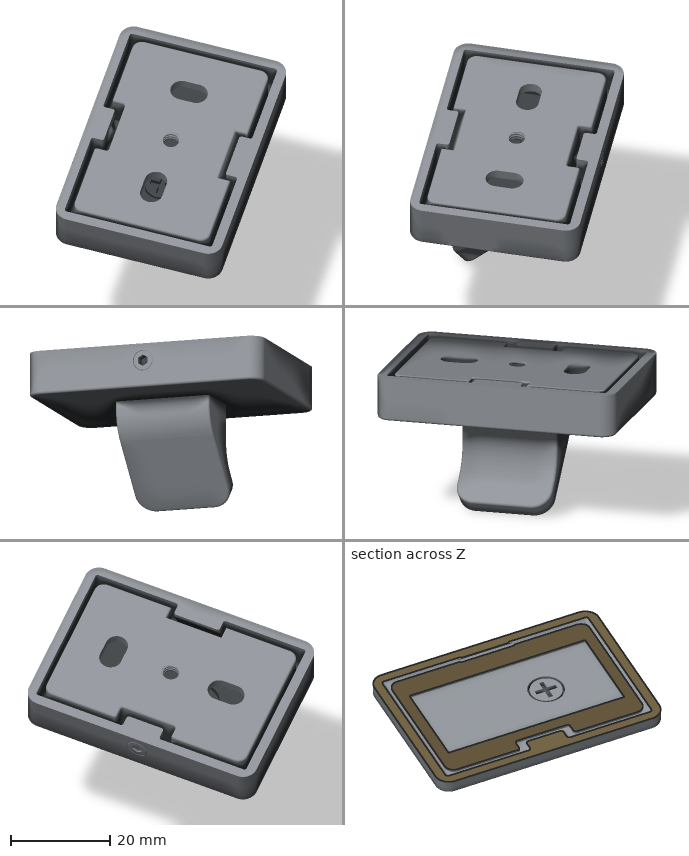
import cadquery as cq
import math

HOUSING_X = 35.0
HOUSING_Y = 50.0
HOUSING_Z = 8.9
HOUSING_CORNER_R = 3.0
HOUSING_BOTTOM_R = 0.5
WALL = 1.95
CAVITY_X = HOUSING_X - 2 * WALL
CAVITY_Y = HOUSING_Y - 2 * WALL
CAVITY_DEPTH = 6.5
CAVITY_CORNER_R = 0.5
FLOOR_R = 1.0

TAB_FACE_X = 13.0
CLAMP_TAB_WIDTH = 8.0
STOP_TAB_WIDTH = 10.0
UNDERCUT_TOP_Z = -0.7
UNDERCUT_ANGLE = 22.0

PLATE_CLAMP_SIDE_X = -14.2
PLATE_STOP_SIDE_X = 14.35
PLATE_Y = 44.1
PLATE_TOP_Z = -0.1
PLATE_EDGE_R = 0.4
PLATE_CORNER_R = 2.0
PLATE_WEB = 2.05
PLATE_RIM_X = 5.0
PLATE_RIM_Y = 2.5
NOTCH_WIDTH = 12.0
STOP_NOTCH_X = 11.7
CLAMP_NOTCH_X = 11.4
NOTCH_CORNER_R = 0.5
SLOT_LENGTH = 7.7
SLOT_WIDTH = 4.6
CROSS_SLOT_Y = 12.6
LONG_SLOT_Y = -12.1
THREAD_MINOR_R = 1.65
THREAD_MAJOR_R = 2.0
THREAD_PITCH = 0.7
THREAD_TURNS = 6
THREAD_TURNS_BELOW_TOP = 4.25
THREAD_MOUTH = 0.45
THREAD_ROOT = 0.1
THREAD_OVERCUT = 0.1

SET_SCREW_R = 2.1
SET_SCREW_Z = -3.5
SET_SCREW_CHAMFER = 0.15
SET_SCREW_POINT = 0.85
SET_SCREW_POINT_R = 1.5
SET_SCREW_HEX = 2.0
SET_SCREW_HEX_DEPTH = 2.0

SCREW_Y = -6.5
SCREW_HEAD_R = 3.35
SCREW_HEAD_HEIGHT = 1.4
SCREW_SHANK_R = 2.0
SCREW_SHANK_END_Z = -15.0
COUNTERBORE_R = 3.8
COUNTERBORE_DEPTH = 1.5
RECESS_ARM_WIDTH = 1.0
RECESS_SPAN = 4.7
RECESS_DEPTH = 1.0

HOOK_X = 11.0
HOOK_Y = 20.0
HOOK_LOWEST_Z = -28.8
HOOK_BEND_R = 8.75
HOOK_OUTER_BEND_Z = -10.45
HOOK_INNER_BEND_Z = -16.0
HOOK_TIP_CORNER_R = 4.0
HOOK_EDGE_R = 0.5

FLOOR_Z = -CAVITY_DEPTH
BOTTOM_Z = -HOUSING_Z
COUNTERBORE_Z = FLOOR_Z - COUNTERBORE_DEPTH
HOOK_TIP_Z = HOOK_LOWEST_Z - HOOK_EDGE_R * (math.sqrt(2) - 1)
SIN45 = math.sqrt(0.5)


def box(x0, x1, y0, y1, z0, z1):
    return cq.Workplane("XY").box(x1 - x0, y1 - y0, z1 - z0, centered=False).translate((x0, y0, z0))


def slope_run(drop):
    """Sideways run of the undercut slope over a given drop."""
    return drop * math.tan(math.radians(UNDERCUT_ANGLE))


def stop_undercut():
    """Space under the stop tab, clearing the floor fillets beside it."""
    root_x = TAB_FACE_X + slope_run(UNDERCUT_TOP_Z - FLOOR_Z)
    return (
        cq.Workplane("XZ")
        .moveTo(TAB_FACE_X - FLOOR_R, UNDERCUT_TOP_Z)
        .lineTo(TAB_FACE_X, UNDERCUT_TOP_Z)
        .lineTo(root_x, FLOOR_Z)
        .lineTo(TAB_FACE_X - FLOOR_R, FLOOR_Z)
        .close()
        .extrude(STOP_TAB_WIDTH / 2 + FLOOR_R, both=True)
    )


def make_cavity():
    """Space inside the tray, reduced by the two tabs, with rounded floor edges."""
    cavity = box(-CAVITY_X / 2, CAVITY_X / 2, -CAVITY_Y / 2, CAVITY_Y / 2, FLOOR_Z, 0)
    clamp_half = CLAMP_TAB_WIDTH / 2
    stop_half = STOP_TAB_WIDTH / 2
    cavity = cavity.cut(box(-CAVITY_X / 2, -TAB_FACE_X, -clamp_half, clamp_half, FLOOR_Z, 0))
    cavity = cavity.cut(box(TAB_FACE_X, CAVITY_X / 2, -stop_half, stop_half, FLOOR_Z, 0))
    cavity = cavity.edges("|Z").fillet(CAVITY_CORNER_R)
    return cavity.faces("<Z").edges().fillet(FLOOR_R)


def make_housing():
    housing = box(-HOUSING_X / 2, HOUSING_X / 2, -HOUSING_Y / 2, HOUSING_Y / 2, BOTTOM_Z, 0)
    housing = housing.edges("|Z").fillet(HOUSING_CORNER_R)
    housing = housing.faces("<Z").edges().fillet(HOUSING_BOTTOM_R)
    housing = housing.cut(make_cavity()).cut(stop_undercut())
    return housing.cut(set_screw_blank()).cut(screw_pocket())


def make_plate():
    """Clamped plate, hollow underneath, with slots and a threaded centre hole."""
    plate = plate_blank()
    plate = plate.cut(stop_notch()).cut(clamp_notch())
    plate = plate.edges(clamp_notch_mouth()).fillet(NOTCH_CORNER_R)
    plate = plate.faces(">Z").edges().fillet(PLATE_EDGE_R)
    plate = plate.cut(plate_hollow())
    plate = plate.cut(slot(CROSS_SLOT_Y, 0)).cut(slot(LONG_SLOT_Y, 90))
    return cut_thread(plate)


def plate_blank():
    """Rounded block whose clamp side leans out to where the floor fillet ends."""
    blank = (
        cq.Workplane("XZ")
        .moveTo(PLATE_CLAMP_SIDE_X, PLATE_TOP_Z)
        .lineTo(PLATE_STOP_SIDE_X, PLATE_TOP_Z)
        .lineTo(PLATE_STOP_SIDE_X, FLOOR_Z)
        .lineTo(FLOOR_R - CAVITY_X / 2, FLOOR_Z)
        .close()
        .extrude(PLATE_Y / 2, both=True)
    )
    return blank.edges("not (|X or |Y)").fillet(PLATE_CORNER_R)


def stop_notch():
    """Notch around the stop tab; its wall slopes out under the tab."""
    foot_x = STOP_NOTCH_X + slope_run(PLATE_TOP_Z - FLOOR_Z)
    return (
        cq.Workplane("XZ")
        .moveTo(CAVITY_X / 2, PLATE_TOP_Z)
        .lineTo(STOP_NOTCH_X, PLATE_TOP_Z)
        .lineTo(foot_x, FLOOR_Z)
        .lineTo(CAVITY_X / 2, FLOOR_Z)
        .close()
        .extrude(NOTCH_WIDTH / 2, both=True)
    )


def clamp_notch():
    """Notch around the clamp tab; its wall leans out to where the floor fillet ends."""
    foot_x = -(TAB_FACE_X - FLOOR_R)
    notch = (
        cq.Workplane("XZ")
        .moveTo(-CAVITY_X / 2, PLATE_TOP_Z)
        .lineTo(-CLAMP_NOTCH_X, PLATE_TOP_Z)
        .lineTo(foot_x, FLOOR_Z)
        .lineTo(-CAVITY_X / 2, FLOOR_Z)
        .close()
        .extrude(NOTCH_WIDTH / 2, both=True)
    )
    return notch.faces(">X").edges("not |Y").fillet(NOTCH_CORNER_R)


def clamp_notch_mouth():
    """Selects the two upright edges where the clamp notch opens through the plate's side."""
    half = NOTCH_WIDTH / 2 + 0.05
    return cq.selectors.BoxSelector(
        (-CAVITY_X / 2, -half, FLOOR_Z),
        (PLATE_CLAMP_SIDE_X, half, PLATE_TOP_Z),
    )


def plate_hollow():
    """Underside pocket that leaves a web under the top and a rim standing on the floor."""
    return box(
        PLATE_CLAMP_SIDE_X + PLATE_RIM_X,
        PLATE_STOP_SIDE_X - PLATE_RIM_X,
        -PLATE_Y / 2 + PLATE_RIM_Y,
        PLATE_Y / 2 - PLATE_RIM_Y,
        FLOOR_Z,
        PLATE_TOP_Z - PLATE_WEB,
    )


def slot(y, angle):
    return (
        cq.Workplane("XY", origin=(0, y, PLATE_TOP_Z))
        .slot2D(SLOT_LENGTH, SLOT_WIDTH, angle)
        .extrude(-PLATE_WEB)
    )


def cut_thread(plate):
    """One helical V groove, then the centre hole at the thread's minor radius."""
    web_bottom_z = PLATE_TOP_Z - PLATE_WEB
    start_z = PLATE_TOP_Z - THREAD_TURNS_BELOW_TOP * THREAD_PITCH
    helix_length = THREAD_TURNS * THREAD_PITCH
    helix = cq.Wire.makeHelix(THREAD_PITCH, helix_length, THREAD_MINOR_R, center=cq.Vector(0, 0, start_z))
    groove = (
        cq.Workplane("XZ", origin=(0, 0, start_z))
        .moveTo(THREAD_MINOR_R - THREAD_OVERCUT, -THREAD_MOUTH / 2)
        .lineTo(THREAD_MAJOR_R, -THREAD_ROOT / 2)
        .lineTo(THREAD_MAJOR_R, THREAD_ROOT / 2)
        .lineTo(THREAD_MINOR_R - THREAD_OVERCUT, THREAD_MOUTH / 2)
        .close()
        .sweep(cq.Workplane(obj=helix), isFrenet=True)
    )
    hole = cq.Workplane("XY", origin=(0, 0, web_bottom_z)).circle(THREAD_MINOR_R).extrude(PLATE_WEB)
    return plate.cut(groove).cut(hole)


def set_screw_blank():
    """Outer shape of the set screw: a cylinder with a conical point on the plate's notch wall."""
    lean = (PLATE_TOP_Z - SET_SCREW_Z) / (PLATE_TOP_Z - FLOOR_Z)
    tip_x = -CLAMP_NOTCH_X - lean * (TAB_FACE_X - FLOOR_R - CLAMP_NOTCH_X)
    shoulder_x = tip_x - SET_SCREW_POINT
    return (
        cq.Workplane("XY", origin=(0, 0, SET_SCREW_Z))
        .moveTo(-HOUSING_X / 2, 0)
        .lineTo(-HOUSING_X / 2, SET_SCREW_R)
        .lineTo(shoulder_x - (SET_SCREW_R - SET_SCREW_POINT_R), SET_SCREW_R)
        .lineTo(shoulder_x, SET_SCREW_POINT_R)
        .lineTo(tip_x, 0)
        .close()
        .revolve(360, (0, 0, 0), (1, 0, 0))
    )


def make_set_screw():
    screw = set_screw_blank().faces("<X").edges().chamfer(SET_SCREW_CHAMFER)
    across_corners = SET_SCREW_HEX / math.cos(math.pi / 6)
    socket = (
        cq.Workplane("YZ", origin=(-HOUSING_X / 2, 0, SET_SCREW_Z))
        .transformed(rotate=(0, 0, 90))
        .polygon(6, across_corners)
        .extrude(SET_SCREW_HEX_DEPTH)
    )
    return screw.cut(socket)


def make_hook():
    """Bent bracket with rounded tip corners and rounded edges."""
    left = -HOOK_X / 2
    right = HOOK_X / 2
    sweep_x = HOOK_BEND_R * (1 - SIN45)
    sweep_z = HOOK_BEND_R * SIN45
    mid_x = HOOK_BEND_R * (1 - math.cos(math.pi / 8))
    mid_z = HOOK_BEND_R * math.sin(math.pi / 8)
    outer_end = (left + sweep_x, HOOK_OUTER_BEND_Z - sweep_z)
    inner_end = (right + sweep_x, HOOK_INNER_BEND_Z - sweep_z)
    tip_x = outer_end[0] + outer_end[1] - HOOK_TIP_Z
    thickness_xz = (inner_end[0] + inner_end[1] - tip_x - HOOK_TIP_Z) / 2
    hook = (
        cq.Workplane("XZ")
        .moveTo(left, BOTTOM_Z)
        .lineTo(left, HOOK_OUTER_BEND_Z)
        .threePointArc((left + mid_x, HOOK_OUTER_BEND_Z - mid_z), outer_end)
        .lineTo(tip_x, HOOK_TIP_Z)
        .lineTo(tip_x + thickness_xz, HOOK_TIP_Z + thickness_xz)
        .lineTo(*inner_end)
        .threePointArc((right + mid_x, HOOK_INNER_BEND_Z - mid_z), (right, HOOK_INNER_BEND_Z))
        .lineTo(right, BOTTOM_Z)
        .close()
        .extrude(HOOK_Y / 2, both=True)
    )
    tip_corners = cq.selectors.ParallelDirSelector(cq.Vector(1, 0, 1))
    hook = hook.edges(tip_corners).fillet(HOOK_TIP_CORNER_R)
    hook = hook.faces("<Y or >Y").edges("not <Z").edges("not >Z").fillet(HOOK_EDGE_R)
    return hook.cut(screw_pocket())


def screw_profile(head_r, head_z):
    """Cylindrical head on the counterbore floor, with a shank going down into the hook."""
    head = cq.Workplane("XY", origin=(0, SCREW_Y, COUNTERBORE_Z)).circle(head_r)
    shank = cq.Workplane("XY", origin=(0, SCREW_Y, SCREW_SHANK_END_Z)).circle(SCREW_SHANK_R)
    head_height = head_z - COUNTERBORE_Z
    shank_length = COUNTERBORE_Z - SCREW_SHANK_END_Z
    return head.extrude(head_height).union(shank.extrude(shank_length))


def screw_pocket():
    return screw_profile(COUNTERBORE_R, FLOOR_Z)


def make_screw():
    head_z = COUNTERBORE_Z + SCREW_HEAD_HEIGHT
    recess = (
        cq.Workplane("XY", origin=(0, SCREW_Y, head_z))
        .rect(RECESS_SPAN, RECESS_ARM_WIDTH)
        .extrude(-RECESS_DEPTH)
        .union(
            cq.Workplane("XY", origin=(0, SCREW_Y, head_z))
            .rect(RECESS_ARM_WIDTH, RECESS_SPAN)
            .extrude(-RECESS_DEPTH)
        )
    )
    return screw_profile(SCREW_HEAD_R, head_z).cut(recess)


housing = make_housing()
plate = make_plate()
set_screw = make_set_screw()
hook = make_hook()
screw = make_screw()

result = cq.Compound.makeCompound(
    [housing.val(), plate.val(), set_screw.val(), hook.val(), screw.val()]
)